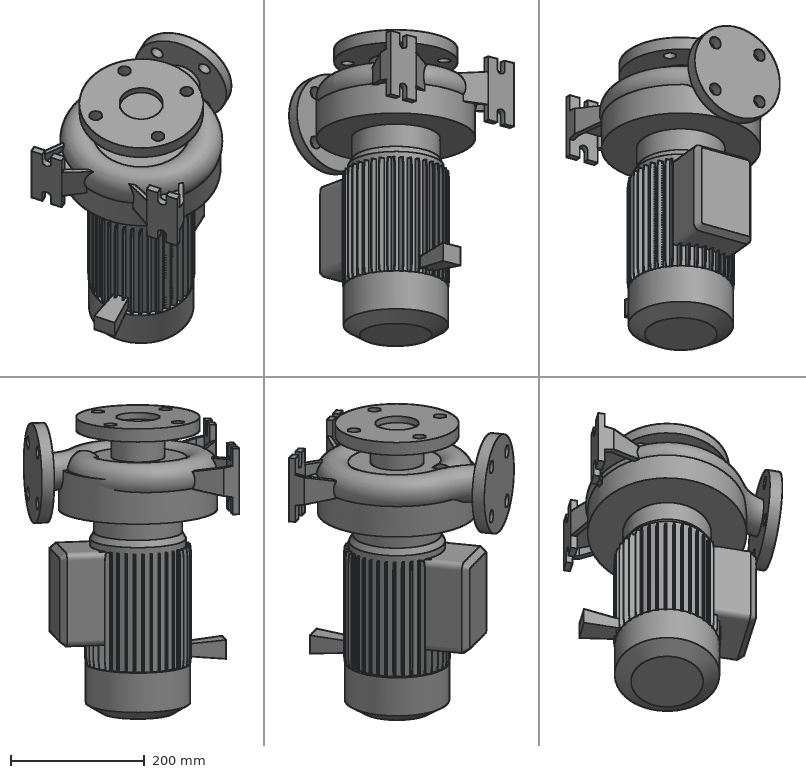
import cadquery as cq
import math


SUCTION_FACE_Z = 80
VOLUTE_COVER_Z = 19
CASING_TOP_Z = 6
CASING_BOTTOM_Z = -60
LANTERN_CONE_TOP_Z = -95
LANTERN_CONE_BOTTOM_Z = -105
FIN_TOP_Z = -115
FIN_BOTTOM_Z = -295
FAN_COVER_CONE_Z = -355
FAN_COVER_END_Z = -370

TUBE_RADIUS = 28
VOLUTE_RADIUS = 93.5
SPIRAL_RADIUS = 83
SPIRAL_SWEEP = 110
OUTLET_ANGLE = 60
CASING_RADIUS = 118.75

BOLT_HOLE_DIAMETER = 19
BOLT_COUNT = 4
SUCTION_FLANGE_DIAMETER = 185
SUCTION_FLANGE_THICKNESS = 20
SUCTION_BOLT_CIRCLE = 145
SUCTION_NECK_DIAMETER = 80
SUCTION_BORE_DIAMETER = 65
SUCTION_BORE_DEPTH = 10
OUTLET_FLANGE_DIAMETER = 150
OUTLET_FLANGE_THICKNESS = 19
OUTLET_BOLT_CIRCLE = 110
OUTLET_FACE_Y = 160

LANTERN_RADIUS = 66.25
MOTOR_RADIUS = 72
FAN_COVER_RADIUS = 78.5
FAN_COVER_END_RADIUS = 54
ROOT_OVERLAP = 2
FIN_RADIUS = 80
FIN_THICKNESS = 2
FIN_PITCH_ANGLE = 9
FINS_PER_HALF_SIDE = 5
FIN_TAPER_DEPTH = 1.5
FIN_TAPER_LENGTH = 12

BOX_WIDTH = 100
BOX_HEIGHT = 143
BOX_BACK_Y = 127
BOX_CORNER_RADIUS = 10
BOX_BEVEL_DEPTH = 10
BOX_BEVEL_INSET = 8

SUPPORT_WIDTH = 34
SUPPORT_HEIGHT = 29
SUPPORT_FACE_Y = -131
SUPPORT_CENTER_Z = -276
SUPPORT_TAPER = 5

FOOT_INNER_X = 70
FOOT_OUTER_X = 120
FOOT_FACE_Y = -132
FOOT_THICKNESS = 10
FOOT_HEIGHT = 100
FOOT_SLOT_WIDTH = 14
FOOT_SLOT_CENTER_Z = 35
WEB_THICKNESS = 7
WEB_BEND_Y = -108
WEB_OUTER_ANGLE = 25.5
WEB_OUTER_RUN_Y = 57
WEB_INNER_ANGLE = 31
WEB_INNER_RUN_X = 45
WEB_HALF_HEIGHT_AT_PLATE = 24
WEB_HALF_HEIGHT_AT_CASING = 12.5
WEB_CASING_Y = -60
FOOT_FLOOR_HALF_THICKNESS = 5


def cylinder_z(radius, bottom, top):
    return cq.Workplane("XY").workplane(offset=bottom).circle(radius).extrude(top - bottom)


def tube_arc(center_x, center_y, radius, start_angle, sweep_angle):
    """Solid tube bent about a vertical axis, counter-clockwise from start_angle."""
    tube = (
        cq.Workplane("XZ")
        .center(radius, 0)
        .circle(TUBE_RADIUS)
        .revolve(sweep_angle, (-radius, 0, 0), (-radius, 1, 0))
    )
    return tube.rotate((0, 0, 0), (0, 0, 1), start_angle).translate((center_x, center_y, 0))


def flange(diameter, thickness, bolt_circle):
    """Flange lying on XY with its sealing face at Z = 0 and its bolts off the axes."""
    return (
        cq.Workplane("XY")
        .circle(diameter / 2)
        .extrude(-thickness)
        .faces(">Z")
        .workplane()
        .polarArray(bolt_circle / 2, 180 / BOLT_COUNT, 360, BOLT_COUNT)
        .hole(BOLT_HOLE_DIAMETER)
    )


def make_volute():
    casing = cylinder_z(CASING_RADIUS, CASING_BOTTOM_Z, CASING_TOP_Z)
    cover = cylinder_z(VOLUTE_RADIUS, CASING_BOTTOM_Z, VOLUTE_COVER_Z)
    scroll = tube_arc(0, 0, VOLUTE_RADIUS, 180, 180 + OUTLET_ANGLE)
    spiral_start = tube_arc(
        SPIRAL_RADIUS - VOLUTE_RADIUS, 0, SPIRAL_RADIUS, 180 - SPIRAL_SWEEP, SPIRAL_SWEEP
    )
    return casing.union(cover).union(scroll).union(spiral_start)


def make_outlet():
    """Reverse bend that brings the discharge onto the YZ plane, with its flange."""
    angle = math.radians(OUTLET_ANGLE)
    bend_x = 2 * VOLUTE_RADIUS * math.cos(angle)
    bend_y = 2 * VOLUTE_RADIUS * math.sin(angle)
    bend = tube_arc(bend_x, bend_y, VOLUTE_RADIUS, 180, OUTLET_ANGLE)
    beyond_face = cq.Workplane("XZ", origin=(0, OUTLET_FACE_Y, 0)).circle(OUTLET_FLANGE_DIAMETER / 2)
    bend = bend.cut(beyond_face.extrude(-TUBE_RADIUS))
    outlet_flange = (
        flange(OUTLET_FLANGE_DIAMETER, OUTLET_FLANGE_THICKNESS, OUTLET_BOLT_CIRCLE)
        .rotate((0, 0, 0), (1, 0, 0), -90)
        .translate((0, OUTLET_FACE_Y, 0))
    )
    return bend.union(outlet_flange)


def make_suction():
    neck = cylinder_z(SUCTION_NECK_DIAMETER / 2, 0, SUCTION_FACE_Z - SUCTION_BORE_DEPTH)
    suction_flange = flange(
        SUCTION_FLANGE_DIAMETER, SUCTION_FLANGE_THICKNESS, SUCTION_BOLT_CIRCLE
    ).translate((0, 0, SUCTION_FACE_Z))
    bore = cylinder_z(SUCTION_BORE_DIAMETER / 2, SUCTION_FACE_Z - SUCTION_BORE_DEPTH, SUCTION_FACE_Z)
    return suction_flange.union(neck).cut(bore)


def make_motor_body():
    """Lantern, motor frame and fan cover as one turned profile."""
    profile = [
        (0, CASING_BOTTOM_Z),
        (LANTERN_RADIUS, CASING_BOTTOM_Z),
        (LANTERN_RADIUS, LANTERN_CONE_TOP_Z),
        (MOTOR_RADIUS, LANTERN_CONE_BOTTOM_Z),
        (MOTOR_RADIUS, FIN_BOTTOM_Z),
        (FAN_COVER_RADIUS, FIN_BOTTOM_Z),
        (FAN_COVER_RADIUS, FAN_COVER_CONE_Z),
        (FAN_COVER_END_RADIUS, FAN_COVER_END_Z),
        (0, FAN_COVER_END_Z),
    ]
    return cq.Workplane("XZ").polyline(profile).close().revolve(360, (0, 0, 0), (0, 1, 0))


def make_fin_row():
    """Parallel fins on the +X side; the outer corner of every tip lies on FIN_RADIUS."""
    row = cq.Workplane("XZ")
    for index in range(FINS_PER_HALF_SIDE):
        fin_y = FIN_RADIUS * math.sin(math.radians(FIN_PITCH_ANGLE * (index + 0.5)))
        tip_x = math.sqrt(FIN_RADIUS**2 - (fin_y + FIN_THICKNESS / 2) ** 2)
        root_x = math.sqrt(MOTOR_RADIUS**2 - (fin_y + FIN_THICKNESS / 2) ** 2) - ROOT_OVERLAP
        outline = [
            (root_x, FIN_BOTTOM_Z),
            (tip_x - FIN_TAPER_DEPTH, FIN_BOTTOM_Z),
            (tip_x, FIN_BOTTOM_Z + FIN_TAPER_LENGTH),
            (tip_x, FIN_TOP_Z - FIN_TAPER_LENGTH),
            (tip_x - FIN_TAPER_DEPTH, FIN_TOP_Z),
            (root_x, FIN_TOP_Z),
        ]
        fin = cq.Workplane("XZ").polyline(outline).close().extrude(FIN_THICKNESS / 2, both=True)
        row = row.add(fin.translate((0, fin_y, 0)))
        row = row.add(fin.translate((0, -fin_y, 0)))
    return row.combine()


def make_terminal_box():
    center_z = FIN_TOP_Z - BOX_HEIGHT / 2
    return (
        cq.Workplane("XZ", origin=(0, 0, center_z))
        .rect(BOX_WIDTH, BOX_HEIGHT)
        .extrude(-BOX_BACK_Y)
        .edges("|Y")
        .fillet(BOX_CORNER_RADIUS)
        .faces(">Y")
        .chamfer(BOX_BEVEL_DEPTH, BOX_BEVEL_INSET)
    )


def make_motor_support():
    return (
        cq.Workplane("XZ", origin=(0, SUPPORT_FACE_Y, SUPPORT_CENTER_Z))
        .rect(SUPPORT_WIDTH, SUPPORT_HEIGHT)
        .extrude(SUPPORT_FACE_Y + MOTOR_RADIUS - ROOT_OVERLAP, taper=SUPPORT_TAPER)
    )


def make_foot():
    """Right-hand (+X) foot: slotted plate joined to the casing by two webs and a floor."""
    plate_back_y = FOOT_FACE_Y + FOOT_THICKNESS
    plate = cq.Workplane("XY").box(
        FOOT_OUTER_X - FOOT_INNER_X, FOOT_THICKNESS, FOOT_HEIGHT, centered=(False, False, True)
    ).translate((FOOT_INNER_X, FOOT_FACE_Y, 0))
    slot_x = (FOOT_INNER_X + FOOT_OUTER_X) / 2
    for side in (1, -1):
        slot = (
            cq.Workplane("XZ", origin=(slot_x, plate_back_y, side * FOOT_HEIGHT / 2))
            .slot2D(FOOT_HEIGHT - 2 * FOOT_SLOT_CENTER_Z + FOOT_SLOT_WIDTH, FOOT_SLOT_WIDTH, 90)
            .extrude(FOOT_THICKNESS)
        )
        plate = plate.cut(slot)

    outer_end = (
        FOOT_OUTER_X - WEB_OUTER_RUN_Y * math.tan(math.radians(WEB_OUTER_ANGLE)),
        WEB_BEND_Y + WEB_OUTER_RUN_Y,
    )
    inner_end = (
        FOOT_INNER_X - WEB_INNER_RUN_X,
        FOOT_FACE_Y + WEB_INNER_RUN_X * math.tan(math.radians(WEB_INNER_ANGLE)),
    )
    outline = [
        (FOOT_INNER_X, FOOT_FACE_Y),
        (FOOT_OUTER_X, FOOT_FACE_Y),
        (FOOT_OUTER_X, WEB_BEND_Y),
        outer_end,
        inner_end,
    ]
    sketch = cq.Workplane("XY").polyline(outline).close()
    pocket_sketch = sketch.offset2D(-WEB_THICKNESS, "intersection")
    pocket = pocket_sketch.extrude(FOOT_HEIGHT / 2, both=True)
    block = cq.Workplane("XY").polyline(outline).close().extrude(FOOT_HEIGHT / 2, both=True)
    floor = cq.Workplane("XY").polyline(outline).close()
    floor = floor.extrude(FOOT_FLOOR_HALF_THICKNESS, both=True)

    web_slope = (WEB_HALF_HEIGHT_AT_PLATE - WEB_HALF_HEIGHT_AT_CASING) / (WEB_CASING_Y - plate_back_y)
    outer_half = WEB_HALF_HEIGHT_AT_PLATE + web_slope * FOOT_THICKNESS
    inner_y = outer_end[1]
    inner_half = WEB_HALF_HEIGHT_AT_CASING - web_slope * (inner_y - WEB_CASING_Y)
    side_profile = cq.Workplane("YZ").polyline([
        (FOOT_FACE_Y, -outer_half),
        (inner_y, -inner_half),
        (inner_y, inner_half),
        (FOOT_FACE_Y, outer_half),
    ]).close().extrude(FOOT_OUTER_X)
    webs = block.cut(pocket).intersect(side_profile)
    return plate.union(webs).union(floor)


fin_row = make_fin_row()
foot = make_foot()

result = make_volute().union(make_outlet()).union(make_suction()).union(make_motor_body())
for quarter in range(4):
    result = result.union(fin_row.rotate((0, 0, 0), (0, 0, 1), 90 * quarter))
result = result.union(make_terminal_box()).union(make_motor_support())
result = result.union(foot).union(foot.mirror("YZ"))